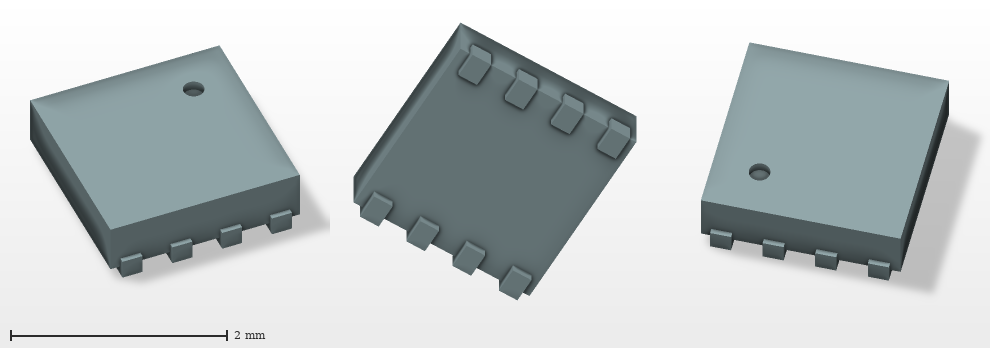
import cadquery as cq

overall_length = 2.0
body_side = 1.9
body_height = 0.5
standoff = 0.1
body_top = standoff + body_height

leads_per_side = 4
lead_pitch = 0.5
lead_length = 0.25
lead_width = 0.2
lead_height = 0.2

marker_diameter = 0.2
marker_depth = 0.1
marker_x = -0.5
marker_y = 0.5


def make_body():
    return (
        cq.Workplane("XY")
        .workplane(offset=standoff)
        .rect(body_side, body_side)
        .extrude(body_height)
    )


def make_leads():
    lead_center_x = (overall_length - lead_length) / 2
    first_lead_y = -lead_pitch * (leads_per_side - 1) / 2
    centers = [
        (side * lead_center_x, first_lead_y + index * lead_pitch)
        for side in (-1, 1)
        for index in range(leads_per_side)
    ]
    return (
        cq.Workplane("XY")
        .pushPoints(centers)
        .rect(lead_length, lead_width)
        .extrude(lead_height)
    )


def make_marker():
    return (
        cq.Workplane("XY")
        .workplane(offset=body_top - marker_depth)
        .center(marker_x, marker_y)
        .circle(marker_diameter / 2)
        .extrude(marker_depth)
    )


result = make_body().union(make_leads()).cut(make_marker())